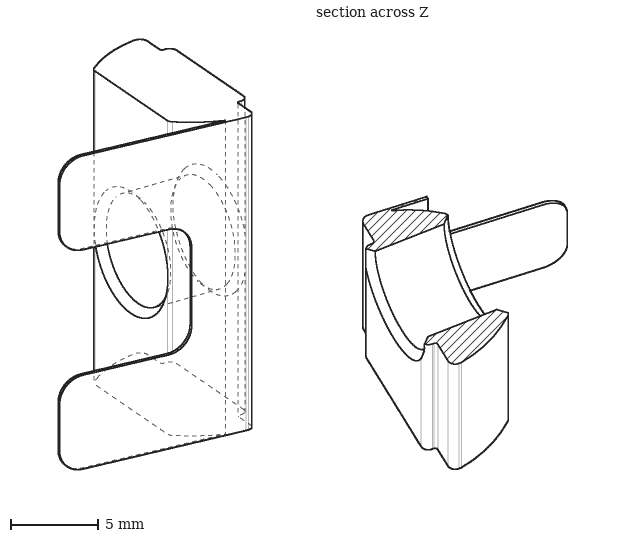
import cadquery as cq
import math

length = 20.0
half_width = 11.85 / 2
body_depth = 5.4
step_height = 0.75
shoulder_y = body_depth - step_height
rail_half_width = 4.0
flank_top_y = 4.0
flank_radius = 8.0
front_half_width = 4.0
rail_radius = 0.48
shoulder_radius = 0.48
step_root_radius = 0.15
front_edge_radius = 0.4

hole_diameter = 6.8
countersink_diameter = 7.8

blade_thickness = 0.2
blade_reach = 8.05
blade_tip_x = 4.92
leg_gap = 8.0
gap_root_y = 0.5
blade_corner_radius = 1.5


def flank_sagitta():
    chord = math.hypot(half_width - front_half_width, flank_top_y)
    return flank_radius - math.sqrt(flank_radius**2 - (chord / 2) ** 2)


def at_corner(x, y):
    """Select the two Z edges at a profile corner and its mirror image."""
    tolerance = 0.02
    boxes = [
        cq.selectors.BoxSelector(
            (side * x - tolerance, y - tolerance, -length),
            (side * x + tolerance, y + tolerance, length),
        )
        for side in (-1, 1)
    ]
    return boxes[0] + boxes[1]


def make_body():
    sagitta = flank_sagitta()
    body = (
        cq.Workplane("XY")
        .workplane(offset=-length / 2)
        .moveTo(-front_half_width, 0)
        .lineTo(front_half_width, 0)
        .sagittaArc((half_width, flank_top_y), -sagitta)
        .lineTo(half_width, shoulder_y)
        .lineTo(rail_half_width, shoulder_y)
        .lineTo(rail_half_width, body_depth)
        .lineTo(-rail_half_width, body_depth)
        .lineTo(-rail_half_width, shoulder_y)
        .lineTo(-half_width, shoulder_y)
        .lineTo(-half_width, flank_top_y)
        .sagittaArc((-front_half_width, 0), -sagitta)
        .close()
        .extrude(length)
    )
    rounded_corners = (
        (rail_half_width, body_depth, rail_radius),
        (rail_half_width, shoulder_y, step_root_radius),
        (half_width, shoulder_y, shoulder_radius),
        (front_half_width, 0, front_edge_radius),
    )
    for x, y, radius in rounded_corners:
        body = body.edges("|Z").edges(at_corner(x, y)).fillet(radius)
    return body


def make_hole():
    hole_radius = hole_diameter / 2
    countersink_radius = countersink_diameter / 2
    countersink_depth = countersink_radius - hole_radius
    return (
        cq.Workplane("XY")
        .moveTo(0, 0)
        .lineTo(countersink_radius, 0)
        .lineTo(hole_radius, countersink_depth)
        .lineTo(hole_radius, body_depth - countersink_depth)
        .lineTo(countersink_radius, body_depth)
        .lineTo(0, body_depth)
        .close()
        .revolve(360, (0, 0), (0, 1))
    )


def make_blade():
    lean = math.atan2(half_width - blade_tip_x, flank_top_y + blade_reach)
    blade_length = (flank_top_y + blade_reach) / math.cos(lean)
    gap_length = blade_length - (flank_top_y - gap_root_y) / math.cos(lean)
    tip_y = flank_top_y - blade_length

    blade = cq.Workplane("XY").box(
        blade_thickness, blade_length, length, centered=(False, False, True)
    )
    gap = cq.Workplane("XY").box(
        blade_thickness, gap_length, leg_gap, centered=(False, False, True)
    )
    blade = blade.cut(gap)
    blade = blade.edges("|X").edges("not >Y").fillet(blade_corner_radius)
    blade = blade.translate((half_width - blade_thickness, tip_y, 0))
    pivot = (half_width, flank_top_y, 0)
    pivot_end = (half_width, flank_top_y, 1)
    return blade.rotate(pivot, pivot_end, -math.degrees(lean))


result = make_body().cut(make_hole()).union(make_blade())